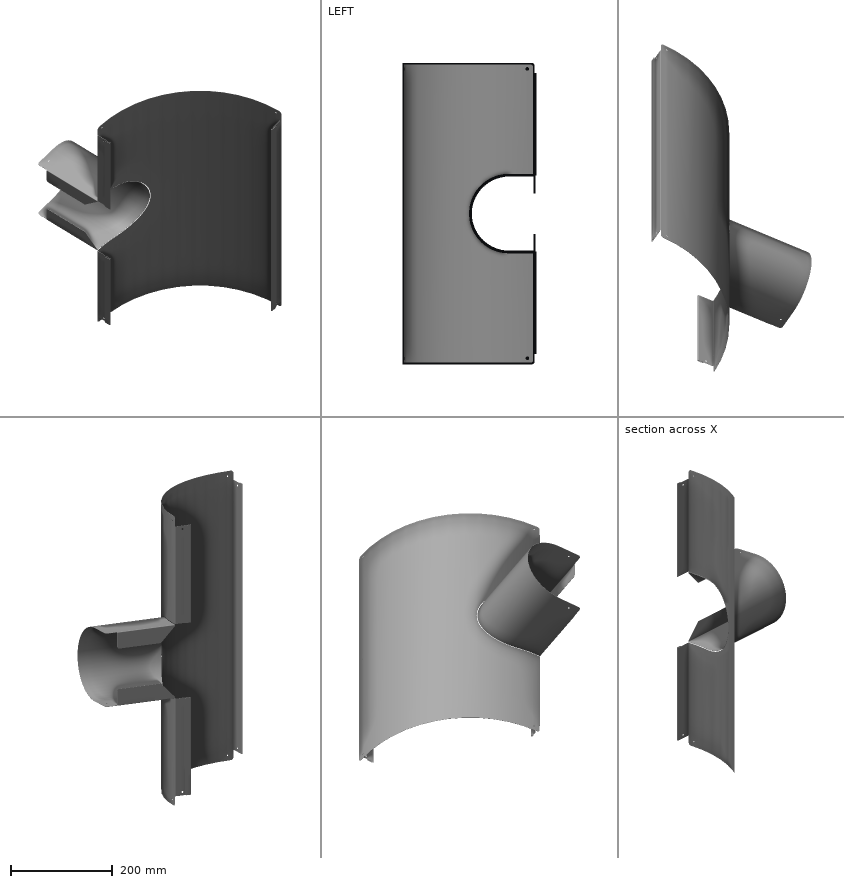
import cadquery as cq
import math

LENGTH_X = 412.5
WIDTH_Y = 261.0
HEIGHT = 590.0

SHEET = 0.5
BEND_RADIUS = 1.0
BEND_INNER = BEND_RADIUS - SHEET
HEM_STANDOFF = 2.5
HEM_DEPTH = HEM_STANDOFF + SHEET
HEM_GAP = HEM_STANDOFF - SHEET

SHELL_RADIUS = WIDTH_Y - HEM_STANDOFF
AXIS_X = LENGTH_X / 2 - HEM_STANDOFF
AXIS_Y = -WIDTH_Y / 2 + HEM_STANDOFF
SHELL_CORNER = 6.0
SHELL_HOLE = 3.0
SHELL_HOLE_INSET = 14.0
SHELL_HOLE_Z = HEIGHT / 2 - 10.5

FLANGE_WIDTH = 34.0
FLANGE_TOP = HEIGHT / 2 - 20.0
HEM_WIDTH = 13.5
HEM_CORNER = 3.0
FLANGE_HOLE = 4.0
FLANGE_HOLE_OFFSET = 16.5
FLANGE_HOLE_Z = FLANGE_TOP - 7.0

BRANCH_RADIUS = 75.0
BRANCH_START_X = -LENGTH_X / 2
BRANCH_AXIS_Y = -77.0
BRANCH_CORNER = 6.0
BRANCH_HOLE = 3.0
BRANCH_HOLE_X = BRANCH_START_X + 12.5
BRANCH_HOLE_Y = AXIS_Y + 22.0

LIP_WIDTH = 33.5
LIP_CORNER = 4.0
LIP_START_X = BRANCH_START_X + 25.0
LIP_END_X = -52.0

OPENING_CLEARANCE = 1.0
OPENING_RADIUS = BRANCH_RADIUS + OPENING_CLEARANCE

DIAGONAL = math.sqrt(0.5)
CUT_LENGTH = HEIGHT


def swap_edges(body):
    """Mirror a body from the shell's front edge to its rear edge (shell axis at the origin)."""
    return cq.Workplane(body.val().mirror(cq.Vector(1, 1, 0)))


def round_bar(plane, origin, diameter):
    """Long cylinder along the plane's normal, centred on the origin point."""
    return cq.Workplane(plane, origin=origin).circle(diameter / 2).extrude(CUT_LENGTH, both=True)



def shell_wall():
    """Quarter-round wall that stops where the flange bends begin, with rounded corners."""
    ring = (
        cq.Workplane("XY")
        .circle(SHELL_RADIUS)
        .circle(SHELL_RADIUS - SHEET)
        .extrude(HEIGHT / 2, both=True)
    )
    quarter = (
        cq.Workplane("XY")
        .box(SHELL_RADIUS, SHELL_RADIUS, HEIGHT, centered=(False, False, True))
        .translate((-SHELL_RADIUS - BEND_RADIUS, BEND_RADIUS, 0))
    )
    wall = ring.intersect(quarter)
    for end_face in ("<Y", ">X"):
        wall = wall.faces(end_face).edges("<Z or >Z").fillet(SHELL_CORNER)
    return wall


def cut_corner_holes(wall):
    """Cut a hole next to each of the four corners of the wall."""
    for z in (-SHELL_HOLE_Z, SHELL_HOLE_Z):
        front_hole = (
            cq.Workplane("YZ", origin=(-SHELL_RADIUS, SHELL_HOLE_INSET, z))
            .circle(SHELL_HOLE / 2)
            .extrude(HEM_DEPTH, both=True)
        )
        wall = wall.cut(front_hole).cut(swap_edges(front_hole))
    return wall


def front_flange(bottom, top, hole_heights):
    """Flange on the front edge: a bend, a flat web and a hem folded back over the outside."""
    bend_x = -SHELL_RADIUS + BEND_RADIUS
    bend_middle = BEND_RADIUS * DIAGONAL
    inner_middle = BEND_INNER * DIAGONAL
    fold_x = -SHELL_RADIUS + FLANGE_WIDTH - HEM_DEPTH / 2
    hem_x = -SHELL_RADIUS + FLANGE_WIDTH - HEM_WIDTH
    flange = (
        cq.Workplane("XY", origin=(0, 0, bottom))
        .moveTo(-SHELL_RADIUS, BEND_RADIUS)
        .threePointArc((bend_x - bend_middle, BEND_RADIUS - bend_middle), (bend_x, 0))
        .lineTo(fold_x, 0)
        .threePointArc((fold_x + HEM_GAP / 2, -HEM_GAP / 2), (fold_x, -HEM_GAP))
        .lineTo(hem_x, -HEM_GAP)
        .lineTo(hem_x, -HEM_STANDOFF)
        .lineTo(fold_x, -HEM_STANDOFF)
        .threePointArc((fold_x + HEM_DEPTH / 2, -HEM_GAP / 2), (fold_x, SHEET))
        .lineTo(bend_x, SHEET)
        .threePointArc(
            (bend_x - inner_middle, BEND_RADIUS - inner_middle),
            (-SHELL_RADIUS + SHEET, BEND_RADIUS),
        )
        .close()
        .extrude(top - bottom)
    )
    flange = flange.edges("|Y").edges("<Y").fillet(HEM_CORNER)
    for z in hole_heights:
        hole_origin = (-SHELL_RADIUS + FLANGE_HOLE_OFFSET, 0, z)
        flange = flange.cut(round_bar("XZ", hole_origin, FLANGE_HOLE))
    return flange


def make_shell():
    """Wall with a full-height rear flange, a split front flange and the branch opening."""
    shell = cut_corner_holes(shell_wall())
    upper_flange = front_flange(OPENING_RADIUS, FLANGE_TOP, [FLANGE_HOLE_Z])
    lower_flange = front_flange(-FLANGE_TOP, -OPENING_RADIUS, [-FLANGE_HOLE_Z])
    rear_flange = swap_edges(front_flange(-FLANGE_TOP, FLANGE_TOP, [-FLANGE_HOLE_Z, FLANGE_HOLE_Z]))
    for flange in (upper_flange, lower_flange, rear_flange):
        shell = shell.union(flange)
    return shell.translate((AXIS_X, AXIS_Y, 0)).cut(trough(OPENING_RADIUS, AXIS_Y))



def trough(radius, front_y):
    """Solid bar with the branch's U-shaped section, reaching from its open end into the shell."""
    return (
        cq.Workplane("YZ", origin=(BRANCH_START_X, 0, 0))
        .moveTo(front_y, -radius)
        .lineTo(BRANCH_AXIS_Y, -radius)
        .threePointArc((BRANCH_AXIS_Y + radius, 0), (BRANCH_AXIS_Y, radius))
        .lineTo(front_y, radius)
        .close()
        .extrude(LENGTH_X / 2)
    )


def branch_wall():
    """U-shaped wall with rounded front corners at the open end."""
    edge_y = AXIS_Y + BEND_RADIUS
    wall = trough(BRANCH_RADIUS, edge_y).cut(trough(BRANCH_RADIUS - SHEET, edge_y))
    return wall.faces("<Y").edges("|Z").edges("<X").fillet(BRANCH_CORNER)


def upper_lip():
    """Lip bent inward from the upper wall, sloping away at 45 degrees towards the shell."""
    edge_y = AXIS_Y + BEND_RADIUS
    bend_z = BRANCH_RADIUS - BEND_RADIUS
    lip_z = BRANCH_RADIUS - LIP_WIDTH
    bend_middle = BEND_RADIUS * DIAGONAL
    inner_middle = BEND_INNER * DIAGONAL
    strip = (
        cq.Workplane("YZ", origin=(LIP_START_X, 0, 0))
        .moveTo(edge_y, BRANCH_RADIUS)
        .threePointArc((edge_y - bend_middle, bend_z + bend_middle), (AXIS_Y, bend_z))
        .lineTo(AXIS_Y, lip_z)
        .lineTo(AXIS_Y + SHEET, lip_z)
        .lineTo(AXIS_Y + SHEET, bend_z)
        .threePointArc((edge_y - inner_middle, bend_z + inner_middle), (edge_y, BRANCH_RADIUS - SHEET))
        .close()
        .extrude(LIP_END_X - LIP_START_X)
    )
    outline = (
        cq.Workplane("XZ", origin=(0, AXIS_Y + BEND_RADIUS, 0))
        .moveTo(LIP_START_X, BRANCH_RADIUS)
        .lineTo(LIP_START_X, lip_z)
        .lineTo(LIP_END_X - LIP_WIDTH, lip_z)
        .lineTo(LIP_END_X, BRANCH_RADIUS)
        .close()
        .extrude(BEND_RADIUS)
        .edges("|Y").edges("<X").edges("<Z").fillet(LIP_CORNER)
    )
    return strip.intersect(outline)


def make_branch():
    """Wall and two lips, ending level with the outside of the shell."""
    lip = upper_lip()
    branch = branch_wall().union(lip).union(lip.mirror("XY"))
    hole = round_bar("XY", (BRANCH_HOLE_X, BRANCH_HOLE_Y, 0), BRANCH_HOLE)
    shell_envelope = round_bar("XY", (AXIS_X, AXIS_Y, 0), 2 * SHELL_RADIUS)
    return branch.cut(hole).cut(shell_envelope)


shell = make_shell()
branch = make_branch()

result = cq.Compound.makeCompound([shell.solids().val(), branch.solids().val()])